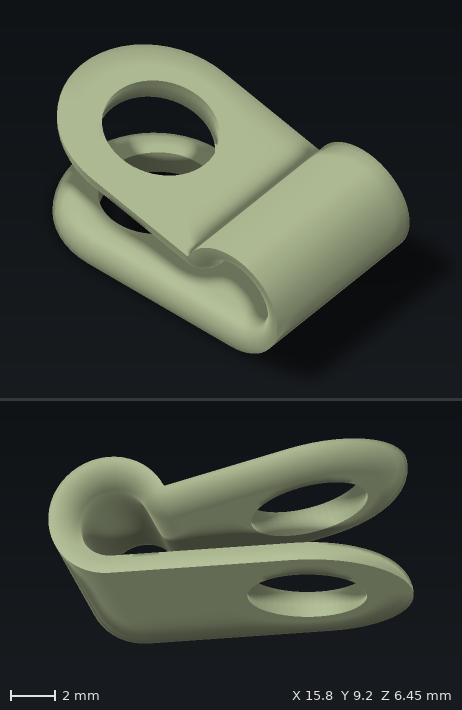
import cadquery as cq
import math

strip_width = 9.2
thickness = 1.2
end_radius = strip_width / 2

overall_length = 15.8
loop_outer_radius = 2.8
loop_center_x = overall_length - loop_outer_radius
loop_end_angle = 152.8

bend_radius = 0.1
arm_tilt = 13.5
arm_straight_length = 5.78
bend_angle = loop_end_angle + arm_tilt - 90

hole_diameter = 5.4
hole_inset = 0.2


def draw_rounded_edge(outline, edge_x):
    """Add the rounded edge that rises from (edge_x, 0) to the full thickness."""
    diagonal = thickness * math.sqrt(0.5)
    flat_x = edge_x - thickness
    return outline.threePointArc((flat_x + diagonal, diagonal), (flat_x, thickness))


def strip_section():
    """Cross-section in YZ: flat face at Z = 0, both edges rounded toward +Z."""
    half_width = strip_width / 2
    outline = cq.Workplane("YZ").moveTo(0, 0).lineTo(half_width, 0)
    half_outline = draw_rounded_edge(outline, half_width).lineTo(0, thickness)
    return half_outline.mirrorY()


def rounded_plate(straight_length):
    """Plate running from X = 0 toward -X, with a round end and a hole."""
    straight = strip_section().extrude(-straight_length)
    end_profile = draw_rounded_edge(cq.Workplane("XZ").lineTo(end_radius, 0), end_radius)
    round_end = end_profile.lineTo(0, thickness).close().revolve(360, (0, 0), (0, 1))
    hole = (
        cq.Workplane("XY")
        .center(hole_inset - straight_length, 0)
        .circle(hole_diameter / 2)
        .extrude(thickness)
    )
    return straight.union(round_end.translate((-straight_length, 0, 0))).cut(hole)


def bent_strip(axis_height, angle):
    """Strip section swept from X = 0 toward +X about a Y axis at the given height."""
    axis_direction = math.copysign(1, axis_height)
    return strip_section().revolve(angle, (0, axis_height), (-axis_direction, axis_height))


lower_plate = rounded_plate(loop_center_x - end_radius).translate((loop_center_x, 0, 0))
loop = bent_strip(loop_outer_radius, 90 + loop_end_angle).translate((loop_center_x, 0, 0))

bend = bent_strip(-bend_radius, bend_angle)
upper_arm = rounded_plate(arm_straight_length).union(bend).rotate((0, 0, 0), (1, 0, 0), 180)

bend_center_distance = loop_outer_radius + bend_radius
bend_center_x = loop_center_x + bend_center_distance * math.cos(math.radians(loop_end_angle))
bend_center_z = loop_outer_radius + bend_center_distance * math.sin(math.radians(loop_end_angle))
arm_start_x = bend_center_x - bend_radius * math.sin(math.radians(arm_tilt))
arm_start_z = bend_center_z - bend_radius * math.cos(math.radians(arm_tilt))
upper_arm = upper_arm.rotate((0, 0, 0), (0, 1, 0), arm_tilt).translate((arm_start_x, 0, arm_start_z))

result = lower_plate.union(loop).union(upper_arm)